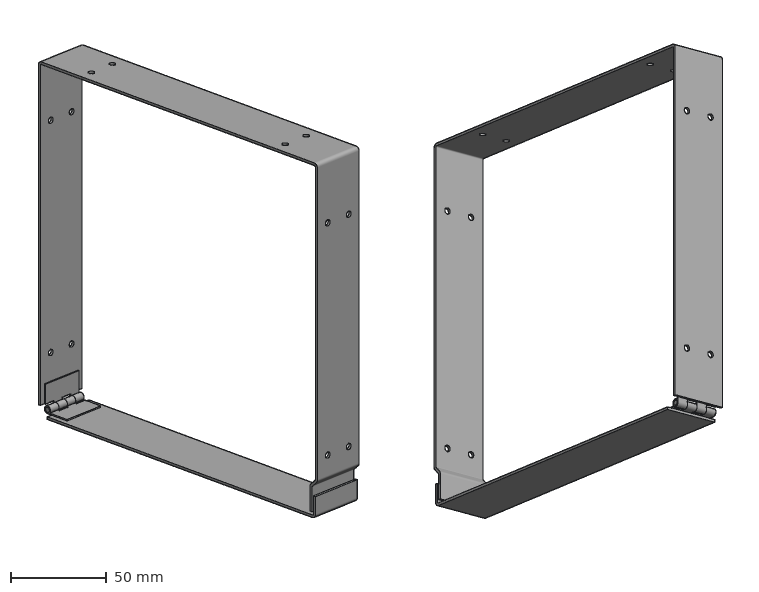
import cadquery as cq
import math

frame_x = 201.6
frame_z = 201.5
strip_width = 31.7
sheet = 1.5
bend_inner_radius = 0.75
bend_outer_radius = bend_inner_radius + sheet

tab_step = 3.8
step_top_z = 21.4
tab_bottom_z = 3.2
flange_outer_x = 200.2
flange_height = 12.5

hole_diameter = 3.5
hole_y = strip_width / 4
top_hole_inset = 30.8
side_hole_z = (34.0, 165.7)

leaf_thickness = 0.8
leaf_length = 14.1
hinge_width = 25.5
pin_diameter = 2.8
knuckle_count = 4
knuckle_radius = pin_diameter / 2 + leaf_thickness
knuckle_length = hinge_width / knuckle_count
axis_offset = sheet + knuckle_radius
knuckle_clearance = 0.5
strip_end = axis_offset + knuckle_radius + knuckle_clearance


def box(x_range, y_range, z_range):
    """Box between two limits on each axis."""
    size = [high - low for low, high in (x_range, y_range, z_range)]
    corner = (x_range[0], y_range[0], z_range[0])
    return cq.Workplane("XY").box(*size, centered=False).translate(corner)


def cylinder_along_y(radius, y_range):
    """Cylinder on the hinge axis."""
    start = cq.Vector(axis_offset, y_range[0], axis_offset)
    length = y_range[1] - y_range[0]
    return cq.Workplane(cq.Solid.makeCylinder(radius, length, start, cq.Vector(0, 1, 0)))


def bent_strip(outer):
    """Sheet strip whose left-hand face follows the (x, z) points, with a rounded bend at each corner."""
    headings = []
    for (x0, z0), (x1, z1) in zip(outer, outer[1:]):
        headings.append(math.atan2(z1 - z0, x1 - x0))
    before = [headings[0]] + headings
    after = headings + [headings[-1]]

    inner = []
    for (x, z), angle_in, angle_out in zip(outer, before, after):
        half_turn = math.remainder(angle_out - angle_in, 2 * math.pi) / 2
        mitre = sheet / math.cos(half_turn)
        middle = angle_in + half_turn
        inner.append((x + mitre * math.sin(middle), z - mitre * math.cos(middle)))

    profile = cq.Workplane("XZ").polyline(outer + inner[::-1]).close()
    strip = profile.extrude(strip_width / 2, both=True)

    for i in range(1, len(outer) - 1):
        turns_right = math.remainder(after[i] - before[i], 2 * math.pi) < 0
        outer_radius = bend_outer_radius if turns_right else bend_inner_radius
        inner_radius = bend_inner_radius if turns_right else bend_outer_radius
        for (x, z), radius in ((outer[i], outer_radius), (inner[i], inner_radius)):
            corner = cq.selectors.NearestToPointSelector((x, 0, z))
            strip = strip.edges("|Y").edges(corner).fillet(radius)
    return strip


def make_upper_strip():
    """Left side, top and right side, ending in the stepped latch tab."""
    tab_x = frame_x - tab_step
    strip = bent_strip([
        (0, strip_end),
        (0, frame_z),
        (frame_x, frame_z),
        (frame_x, step_top_z),
        (tab_x, step_top_z - tab_step),
        (tab_x, tab_bottom_z),
    ])
    hole_rows = (-hole_y, hole_y)
    top_points = [(x, y) for x in (top_hole_inset, frame_x - top_hole_inset) for y in hole_rows]
    side_points = [(y, z) for y in hole_rows for z in side_hole_z]
    top_holes = (
        cq.Workplane("XY", origin=(0, 0, frame_z - sheet))
        .pushPoints(top_points).circle(hole_diameter / 2).extrude(sheet)
    )
    side_holes = cq.Workplane("YZ").pushPoints(side_points).circle(hole_diameter / 2).extrude(frame_x)
    return strip.cut(top_holes).cut(side_holes)


def make_lower_strip():
    """Bottom with the upturned flange behind the latch tab."""
    return bent_strip([
        (flange_outer_x, flange_height),
        (flange_outer_x, 0),
        (strip_end, 0),
    ])


def knuckle_span(index):
    """Y limits of one knuckle, counted from the -Y end of the hinge."""
    start = -hinge_width / 2 + index * knuckle_length
    return (start, start + knuckle_length)


def make_leaf(knuckle_indices):
    """Hinge leaf standing against the -X side, with its rolled knuckles."""
    face_range = (sheet, sheet + leaf_thickness)
    leaf_end = axis_offset + leaf_length
    leaf = box(face_range, (-hinge_width / 2, hinge_width / 2), (strip_end, leaf_end))
    for index in knuckle_indices:
        span = knuckle_span(index)
        root = box(face_range, span, (axis_offset, strip_end))
        leaf = leaf.union(root).union(cylinder_along_y(knuckle_radius, span))
    return leaf.cut(make_pin())


def make_pin():
    """Hinge pin through all the knuckles."""
    return cylinder_along_y(pin_diameter / 2, (-hinge_width / 2, hinge_width / 2))


def swap_x_and_z(leaf):
    """Turn an upright leaf onto the bottom strip by mirroring it in the plane X = Z."""
    return leaf.rotate((0, 0, 0), (0, 1, 0), 90).mirror("XY")


upper_strip = make_upper_strip()
lower_strip = make_lower_strip()
upright_leaf = make_leaf(range(1, knuckle_count, 2))
flat_leaf = swap_x_and_z(make_leaf(range(0, knuckle_count, 2)))
pin = make_pin()

result = cq.Compound.makeCompound([
    upper_strip.val(),
    lower_strip.val(),
    upright_leaf.val(),
    flat_leaf.val(),
    pin.val(),
])